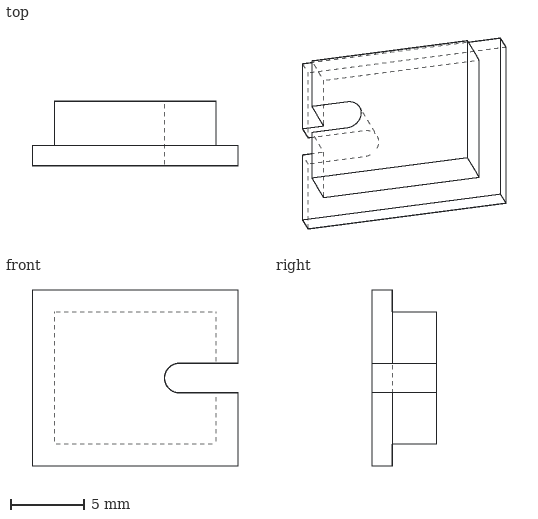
import cadquery as cq

plate_width = 14.0
plate_thickness = 1.4
plate_height = 12.0

block_margin = 1.5
block_depth = 3.0
block_width = plate_width - 2 * block_margin
block_height = plate_height - 2 * block_margin

slot_width = 2.0
slot_length = 5.0
slot_radius = slot_width / 2
total_depth = plate_thickness + block_depth


def make_plate():
    """Plate with its front face on Y = 0."""
    return cq.Workplane("XY").box(
        plate_width, plate_thickness, plate_height, centered=(True, False, True)
    )


def make_block():
    """Block standing on the back face of the plate."""
    block = cq.Workplane("XY").box(
        block_width, block_depth, block_height, centered=(True, False, True)
    )
    return block.translate((0, plate_thickness, 0))


def make_slot():
    """Cutter for the slot: straight sides and a half-round inner end."""
    open_end_x = plate_width / 2
    inner_end_x = open_end_x - slot_length
    arc_start_x = inner_end_x + slot_radius
    return (
        cq.Workplane("XZ")
        .moveTo(open_end_x, slot_radius)
        .lineTo(arc_start_x, slot_radius)
        .threePointArc((inner_end_x, 0), (arc_start_x, -slot_radius))
        .lineTo(open_end_x, -slot_radius)
        .close()
        .extrude(-total_depth)
    )


result = make_plate().union(make_block()).cut(make_slot())